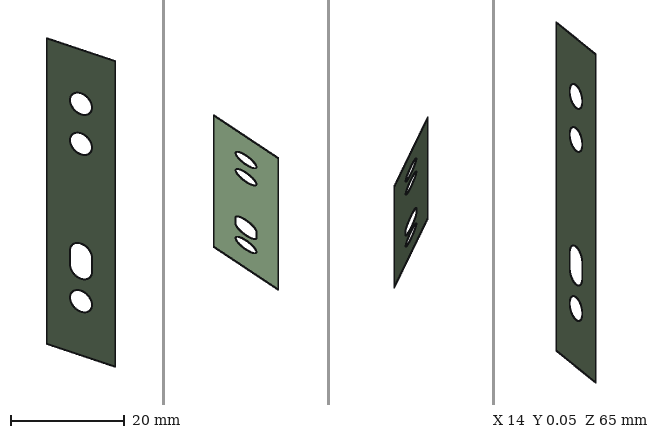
import cadquery as cq

width = 14.0
thickness = 0.05
height = 65.0

hole_diameter = 4.5
hole_heights = [11.5, 45.0, 53.5]
slot_length = 7.5
slot_height = 20.0


def shim_plane():
    """Workplane on the middle of the bottom edge; local y runs up the shim."""
    return cq.Workplane("XZ")


def blank():
    return (
        shim_plane()
        .rect(width, height)
        .extrude(thickness / 2, both=True)
        .translate((0, 0, height / 2))
    )


def round_holes():
    centres = [(0, z) for z in hole_heights]
    return (
        shim_plane()
        .pushPoints(centres)
        .circle(hole_diameter / 2)
        .extrude(thickness, both=True)
    )


def slot():
    return (
        shim_plane()
        .center(0, slot_height)
        .slot2D(slot_length, hole_diameter, angle=90)
        .extrude(thickness, both=True)
    )


result = blank().cut(round_holes()).cut(slot())